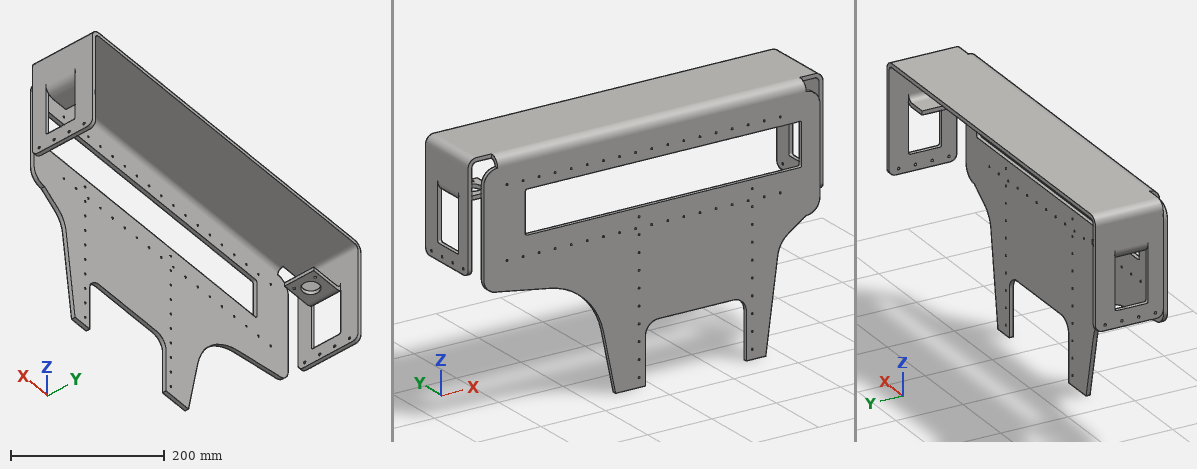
import cadquery as cq
import math

WIDTH = 552.0
DEPTH = 116.0
HEIGHT = 372.0
SHEET = 6.0
WINDOW_CORNER_RADIUS = 3.0

FRONT_BEND = 15.0
SIDE_BEND = 13.0
TAB_BEND = 15.0

PANEL_WIDTH = 523.0
PANEL_CORNER_RADIUS = 21.5
BEND_HALF_WIDTH = PANEL_WIDTH / 2 - PANEL_CORNER_RADIUS
PANEL_BOTTOM = 183.0
PANEL_TOP = HEIGHT - FRONT_BEND
FRONT_WINDOW_X = (-196.5, 233.0)
FRONT_WINDOW_Z = (253.0, 317.5)

LEFT_KNEE = (-89.5, 159.0)
RIGHT_KNEE = (198.0, 154.5)
LEFT_FOOT_X = -56.5
RIGHT_FOOT_X = 177.0
LEFT_KNEE_RADIUS = 101.5
RIGHT_KNEE_RADIUS = 40.0
NOTCH_X = (-10.0, 147.0)
NOTCH_TOP = 90.0
NOTCH_RADIUS = 20.0

PILOT_DIAMETER = 2.5
ROW_START_X = -225.0
ROW_HEIGHTS = (224.0, 330.5)
ROW_SPAN = 425.0
ROW_COUNT = 18
COLUMN_POSITIONS = (-20.0, 156.0)
COLUMN_START_Z = 14.5
COLUMN_SPAN = 225.0
COLUMN_COUNT = 10

FLANGE_X = -WIDTH / 2
FLANGE_BOTTOM = 206.5
FLANGE_CORNER_RADIUS = 10.0
SIDE_WINDOW_Y = (37.5, 86.5)
SIDE_WINDOW_Z = (231.5, 317.5)
FLANGE_HOLE_DIAMETER = 3.4
FLANGE_HOLE_START_Y = 26.5
FLANGE_HOLE_SPAN = 75.0
FLANGE_HOLE_COUNT = 4
FLANGE_HOLE_Z = 215.0

TAB_BOTTOM = SIDE_WINDOW_Z[1] - TAB_BEND
LEFT_TAB_LENGTH = 61.0
RIGHT_TAB_LENGTH = 41.5
CONNECTOR_DIAMETER = 26.0
CONNECTOR_INSET = 37.0
SCREW_DIAMETER = 3.4
SCREW_INSET = 49.5
SCREW_OFFSET_Y = 17.5


def evenly_spaced(start, span, count):
    return [start + span * i / (count - 1) for i in range(count)]


def block(x_range, y_range, z_range):
    size = [high - low for low, high in (x_range, y_range, z_range)]
    return cq.Workplane("XY").box(*size, centered=False).translate((x_range[0], y_range[0], z_range[0]))


def front_plate():
    panel = block((-PANEL_WIDTH / 2, PANEL_WIDTH / 2), (0, SHEET), (PANEL_BOTTOM, PANEL_TOP))
    panel = panel.edges("|Y").fillet(PANEL_CORNER_RADIUS)

    apron = (
        cq.Workplane("XZ")
        .polyline(
            [
                (-BEND_HALF_WIDTH, PANEL_BOTTOM),
                LEFT_KNEE,
                (LEFT_FOOT_X, 0),
                (RIGHT_FOOT_X, 0),
                RIGHT_KNEE,
                (BEND_HALF_WIDTH, PANEL_BOTTOM),
            ]
        )
        .close()
        .extrude(-SHEET)
    )
    for knee, radius in ((LEFT_KNEE, LEFT_KNEE_RADIUS), (RIGHT_KNEE, RIGHT_KNEE_RADIUS)):
        knee_edge = cq.selectors.NearestToPointSelector((knee[0], SHEET / 2, knee[1]))
        apron = apron.edges(knee_edge).fillet(radius)

    notch = block(NOTCH_X, (0, SHEET), (0, NOTCH_TOP)).edges("|Y and >Z").fillet(NOTCH_RADIUS)
    window = block(FRONT_WINDOW_X, (0, SHEET), FRONT_WINDOW_Z).edges("|Y").fillet(WINDOW_CORNER_RADIUS)
    return panel.union(apron).cut(notch).cut(window).cut(pilot_holes())


def pilot_holes():
    points = [(x, z) for z in ROW_HEIGHTS for x in evenly_spaced(ROW_START_X, ROW_SPAN, ROW_COUNT)]
    points += [
        (x, z) for x in COLUMN_POSITIONS for z in evenly_spaced(COLUMN_START_Z, COLUMN_SPAN, COLUMN_COUNT)
    ]
    return cq.Workplane("XZ").pushPoints(points).circle(PILOT_DIAMETER / 2).extrude(-SHEET)


def quarter_bend(plane, centre, outer_radius, u_sign, v_sign, length):
    """Quarter tube centred at `centre` in the plane; the signs choose its quadrant."""
    inner_radius = outer_radius - SHEET
    u, v = centre
    diagonal = math.sqrt(0.5)

    def at(radius, du, dv):
        return (u + u_sign * radius * du, v + v_sign * radius * dv)

    return (
        cq.Workplane(plane)
        .moveTo(*at(inner_radius, 1, 0))
        .lineTo(*at(outer_radius, 1, 0))
        .threePointArc(at(outer_radius, diagonal, diagonal), at(outer_radius, 0, 1))
        .lineTo(*at(inner_radius, 0, 1))
        .threePointArc(at(inner_radius, diagonal, diagonal), at(inner_radius, 1, 0))
        .close()
        .extrude(length)
    )


def top_sheet():
    half_flat = WIDTH / 2 - SIDE_BEND
    return block((-half_flat, half_flat), (FRONT_BEND, DEPTH), (HEIGHT - SHEET, HEIGHT))


def front_bend():
    bend = quarter_bend("YZ", (FRONT_BEND, PANEL_TOP), FRONT_BEND, -1, 1, 2 * BEND_HALF_WIDTH)
    return bend.translate((-BEND_HALF_WIDTH, 0, 0))


def flange(tab_length):
    """Left-hand flange with its bend to the top sheet and a tab reaching `tab_length` inward."""
    x_range = (FLANGE_X, FLANGE_X + SHEET)
    bend_z = HEIGHT - SIDE_BEND
    plate = block(x_range, (FRONT_BEND, DEPTH), (FLANGE_BOTTOM, bend_z))
    plate = plate.edges("|X and <Z").fillet(FLANGE_CORNER_RADIUS)

    window = block(x_range, SIDE_WINDOW_Y, SIDE_WINDOW_Z).edges("|X and <Z").fillet(WINDOW_CORNER_RADIUS)
    hole_positions = evenly_spaced(FLANGE_HOLE_START_Y, FLANGE_HOLE_SPAN, FLANGE_HOLE_COUNT)
    holes = (
        cq.Workplane("YZ", origin=(FLANGE_X, 0, 0))
        .pushPoints([(y, FLANGE_HOLE_Z) for y in hole_positions])
        .circle(FLANGE_HOLE_DIAMETER / 2)
        .extrude(SHEET)
    )
    bend = quarter_bend("XZ", (FLANGE_X + SIDE_BEND, bend_z), SIDE_BEND, -1, 1, FRONT_BEND - DEPTH)
    bend = bend.translate((0, FRONT_BEND, 0))
    return plate.cut(window).cut(holes).union(bend).union(tab(tab_length))


def tab(length):
    y_start, y_end = SIDE_WINDOW_Y
    bend_x = FLANGE_X + TAB_BEND
    bend = quarter_bend("XZ", (bend_x, SIDE_WINDOW_Z[1]), TAB_BEND, -1, -1, y_start - y_end)
    plate = block((bend_x, FLANGE_X + length), SIDE_WINDOW_Y, (TAB_BOTTOM, TAB_BOTTOM + SHEET))
    return bend.translate((0, y_start, 0)).union(plate)


def connector_holes():
    y_middle = sum(SIDE_WINDOW_Y) / 2
    floor = cq.Workplane("XY", origin=(FLANGE_X, y_middle, TAB_BOTTOM))
    connector = floor.center(CONNECTOR_INSET, 0).circle(CONNECTOR_DIAMETER / 2).extrude(SHEET)
    screws = (
        floor.pushPoints([(SCREW_INSET, -SCREW_OFFSET_Y), (SCREW_INSET, SCREW_OFFSET_Y)])
        .circle(SCREW_DIAMETER / 2)
        .extrude(SHEET)
    )
    return connector.union(screws)


left_flange = flange(LEFT_TAB_LENGTH).cut(connector_holes())
right_flange = flange(RIGHT_TAB_LENGTH).mirror("YZ")
result = front_plate().union(front_bend()).union(top_sheet()).union(left_flange).union(right_flange)